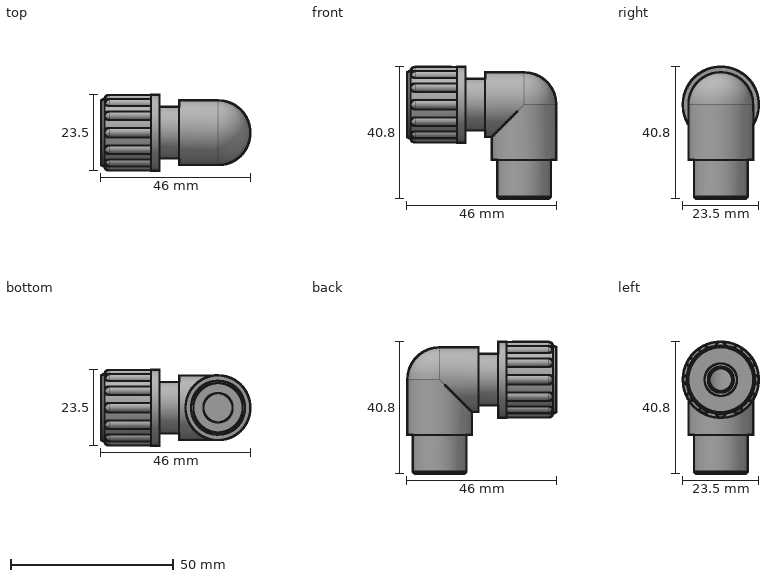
import cadquery as cq


overall_length = 46.0
elbow_dia = 20.0
elbow_radius = elbow_dia / 2
corner_x = overall_length - elbow_radius
elbow_start_x = 24.0
elbow_bottom_z = -17.0

spigot_dia = 16.65
spigot_length = 12.0
spigot_chamfer = 0.75
spigot_bottom_z = elbow_bottom_z - spigot_length

neck_dia = 16.0
nut_dia = 21.0
nut_face_dia = 20.0
nut_chamfer_length = 1.0
flange_dia = 23.5
flange_start_x = 15.4
flange_end_x = 18.0

ridge_count = 12
ridge_radius = 1.5
ridge_circle_radius = 10.15
ridge_round_x = nut_chamfer_length + ridge_radius

nut_bore_dia = 10.0
tube_seat_dia = 8.0
inlet_bore_dia = 7.0
outlet_bore_dia = 9.0


def x_cylinder(diameter, start_x, end_x):
    """Cylinder on the inlet axis."""
    return cq.Workplane("YZ", origin=(start_x, 0, 0)).circle(diameter / 2).extrude(end_x - start_x)


def z_cylinder(diameter, bottom_z, top_z):
    """Cylinder on the outlet axis."""
    return cq.Workplane("XY", origin=(corner_x, 0, bottom_z)).circle(diameter / 2).extrude(top_z - bottom_z)


def corner_ball(diameter):
    """Ball where the inlet and outlet axes meet."""
    return cq.Workplane("XY", origin=(corner_x, 0, 0)).sphere(diameter / 2)


def make_elbow():
    spigot = z_cylinder(spigot_dia, spigot_bottom_z, elbow_bottom_z)
    spigot = spigot.faces("<Z").chamfer(spigot_chamfer)
    return (
        x_cylinder(elbow_dia, elbow_start_x, corner_x)
        .union(z_cylinder(elbow_dia, elbow_bottom_z, 0))
        .union(corner_ball(elbow_dia))
        .union(spigot)
    )


def make_ridge():
    """Round-ended grip ridge at the top of the nut."""
    shaft = (
        cq.Workplane("YZ", origin=(ridge_round_x, 0, ridge_circle_radius))
        .circle(ridge_radius)
        .extrude(flange_start_x - ridge_round_x)
    )
    tip = cq.Workplane("XY", origin=(ridge_round_x, 0, ridge_circle_radius)).sphere(ridge_radius)
    return shaft.union(tip)


def make_nut():
    nut = (
        cq.Workplane("XZ")
        .polyline([
            (0, 0),
            (0, nut_face_dia / 2),
            (nut_chamfer_length, nut_dia / 2),
            (flange_start_x, nut_dia / 2),
            (flange_start_x, flange_dia / 2),
            (flange_end_x, flange_dia / 2),
            (flange_end_x, 0),
        ])
        .close()
        .revolve(360, (0, 0, 0), (1, 0, 0))
    )
    ridge = make_ridge()
    for index in range(ridge_count):
        nut = nut.union(ridge.rotate((0, 0, 0), (1, 0, 0), index * 360 / ridge_count))
    return nut


def make_bores():
    return (
        x_cylinder(nut_bore_dia, 0, flange_start_x)
        .union(x_cylinder(tube_seat_dia, flange_start_x, elbow_start_x))
        .union(x_cylinder(inlet_bore_dia, elbow_start_x, corner_x))
        .union(z_cylinder(outlet_bore_dia, spigot_bottom_z, inlet_bore_dia / 2))
    )


neck = x_cylinder(neck_dia, flange_end_x, elbow_start_x)
result = make_nut().union(neck).union(make_elbow()).cut(make_bores())